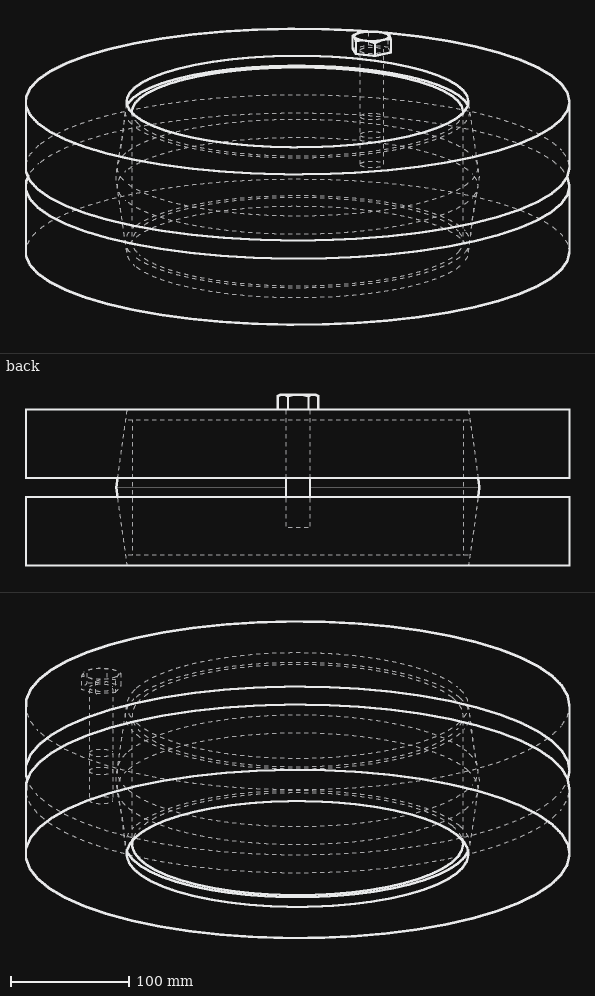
import cadquery as cq
import math

thrust_ring_diameter = 460.0
thrust_ring_height = 58.0
thrust_ring_mouth_diameter = 289.0
ring_gap = 16.0

inner_ring_bore = 280.0
inner_ring_ridge_diameter = 307.5
inner_ring_height = 114.0

bolt_diameter = 20.0
bolt_length = 100.0
bolt_offset_y = 173.0
head_height = 12.5
head_across_flats = 30.0
head_top_diameter = 30.0
head_chamfer_angle = 30.0

ring_inner_face = ring_gap / 2
ring_outer_face = ring_inner_face + thrust_ring_height
taper_slope = (inner_ring_ridge_diameter - thrust_ring_mouth_diameter) / 2 / ring_outer_face
head_across_corners = head_across_flats / math.cos(math.radians(30))


def taper_radius(height):
    """Radius of the tapered contact surface at a distance from the middle plane."""
    return inner_ring_ridge_diameter / 2 - height * taper_slope


def revolve_section(points):
    """Solid of revolution about Z from (radius, height) points."""
    return cq.Workplane("XZ").polyline(points).close().revolve(360, (0, 0), (0, 1))


def make_inner_ring():
    bore_radius = inner_ring_bore / 2
    end_height = inner_ring_height / 2
    end_radius = taper_radius(end_height)
    return revolve_section(
        [
            (bore_radius, -end_height),
            (end_radius, -end_height),
            (taper_radius(0), 0),
            (end_radius, end_height),
            (bore_radius, end_height),
        ]
    )


def make_thrust_ring():
    """Upper thrust ring, its bore tapered to fit the inner ring."""
    outer_radius = thrust_ring_diameter / 2
    return revolve_section(
        [
            (taper_radius(ring_inner_face), ring_inner_face),
            (outer_radius, ring_inner_face),
            (outer_radius, ring_outer_face),
            (taper_radius(ring_outer_face), ring_outer_face),
        ]
    )


def make_shank():
    return (
        cq.Workplane("XY")
        .workplane(offset=ring_outer_face - bolt_length)
        .center(0, bolt_offset_y)
        .circle(bolt_diameter / 2)
        .extrude(bolt_length)
    )


def make_head():
    """Hexagon with two corners along X, its top corners cut back by a cone."""
    base = cq.Workplane("XY").workplane(offset=ring_outer_face).center(0, bolt_offset_y)
    hexagon = base.polygon(6, head_across_corners).extrude(head_height)
    chamfer_width = (head_across_corners - head_top_diameter) / 2
    chamfer_height = chamfer_width * math.tan(math.radians(head_chamfer_angle))
    corner_envelope = (
        base.circle(head_across_corners / 2)
        .extrude(head_height)
        .faces(">Z")
        .chamfer(chamfer_height, chamfer_width)
    )
    return hexagon.intersect(corner_envelope)


shank = make_shank()
bolt = shank.union(make_head())
inner_ring = make_inner_ring()
upper_thrust_ring = make_thrust_ring().cut(shank)
lower_thrust_ring = make_thrust_ring().mirror("XY").cut(shank)

result = cq.Compound.makeCompound(
    [inner_ring.val(), upper_thrust_ring.val(), lower_thrust_ring.val(), bolt.val()]
)